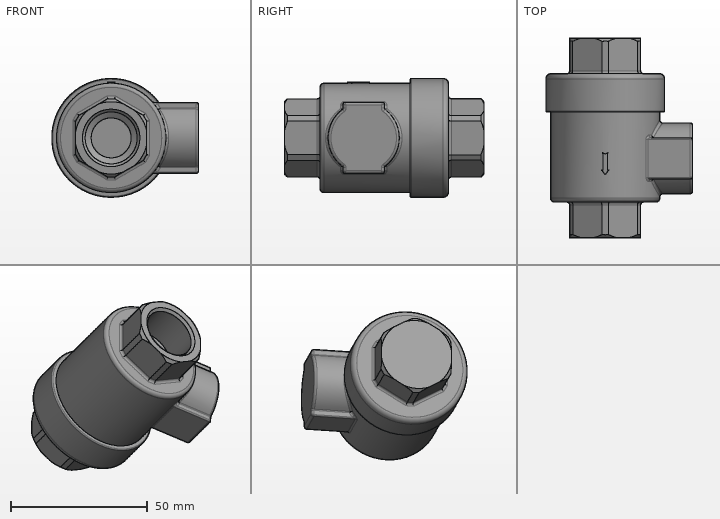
import cadquery as cq
import math


body_radius = 20.0
body_start_y = -16.0
body_end_y = 17.0
body_edge_fillet = 1.5

cap_radius = 21.75
cap_end_y = 31.0
cap_outer_fillet = 2.0
cap_inner_fillet = 0.4

hex_across_flats = 26.0
hex_length = 13.0
body_hex_corner_radius = 14.3
cap_hex_corner_radius = 14.36
hex_end_radius = 13.2
hex_base_fillet = 1.0
hex_sides = 6
hex_half_side_angle = 180 / hex_sides

joint_tolerance = 0.1

bore_radius = 9.5
bore_mouth_radius = 10.5
bore_mouth_depth = 1.0
bore_depth = 15.0
bore_floor_radius = 7.3
bore_floor_slope = math.radians(31)
bore_floor_cone_depth = (bore_radius - bore_floor_radius) * math.tan(bore_floor_slope)

outlet_radius = 13.0
outlet_end_x = 32.0
outlet_end_fillet = 1.0
lug_width = 15.0
lug_edge_fillet = 0.5
lug_foot_fillet = 0.5
outlet_root_fillet = 1.0
root_zone_depth = 6.0
root_zone_margin = 0.5

arrow_top_z = 20.5
arrow_root_z = body_radius - 1.0
arrow_tail_y = 2.1
arrow_tail_notch_y = 1.6
arrow_neck_y = -4.2
arrow_tip_y = -5.9
arrow_tail_half_width = 1.0
arrow_shaft_half_width = 0.8
arrow_head_half_width = 1.4


def disc_along_y(radius, start_y, end_y):
    """Cylinder on the flow axis between two Y positions."""
    return cq.Workplane("XZ", origin=(0, start_y, 0)).circle(radius).extrude(start_y - end_y)


def hex_prism(start_y, end_y, corner_radius):
    """Hexagon with flats facing +X and -X and its corners cut flat at corner_radius."""
    def prism(across_flats, turn):
        diameter = across_flats / math.cos(math.radians(hex_half_side_angle))
        sketch = cq.Workplane("XZ", origin=(0, start_y, 0)).polygon(hex_sides, diameter)
        blank = sketch.extrude(start_y - end_y)
        return blank.rotate((0, 0, 0), (0, 1, 0), turn)

    return prism(hex_across_flats, hex_half_side_angle).intersect(prism(2 * corner_radius, 0))


def hex_end_envelope(base_y, tip_y):
    """Turned envelope whose 45 degree cone trims the hexagon corners at the tip."""
    direction = math.copysign(1, tip_y - base_y)
    cone_base_y = tip_y - direction * (cap_radius - hex_end_radius)
    profile = [
        (0, base_y),
        (cap_radius, base_y),
        (cap_radius, cone_base_y),
        (hex_end_radius, tip_y),
        (0, tip_y),
    ]
    return cq.Workplane("XY").polyline(profile).close().revolve(360, (0, 0, 0), (0, 1, 0))


def hex_end(base_y, direction, corner_radius):
    """Hexagonal end, rooted at base_y and pointing along direction (+1 or -1)."""
    tip_y = base_y + direction * hex_length
    prism = hex_prism(base_y, tip_y, corner_radius)
    return prism.intersect(hex_end_envelope(base_y, tip_y))


def fillet_hex_base(part, base_y):
    """Fillet the concave joint between a hexagonal end and the face it stands on."""
    reach = cap_hex_corner_radius + joint_tolerance
    joint = cq.selectors.BoxSelector(
        (-reach, base_y - joint_tolerance, -reach),
        (reach, base_y + joint_tolerance, reach),
    )
    return part.edges(joint).edges("%LINE").fillet(hex_base_fillet)


def main_body():
    """Round body with the wider cap on its +Y end."""
    body = disc_along_y(body_radius, body_start_y, body_end_y)
    body = body.faces("<Y").edges().fillet(body_edge_fillet)
    cap = disc_along_y(cap_radius, body_end_y, cap_end_y)
    cap = cap.faces(">Y").edges().fillet(cap_outer_fillet)
    cap = cap.faces("<Y").edges().fillet(cap_inner_fillet)
    return body.union(cap)


def outlet_barrel(end_x):
    """Round outlet from the flow axis to end_x."""
    return cq.Workplane("YZ").circle(outlet_radius).extrude(end_x)


def outlet_lug(end_x):
    """Block through the barrel whose flats are tangent to it above and below."""
    return cq.Workplane("YZ").rect(lug_width, 2 * outlet_radius).extrude(end_x)


def joined_to_body(body, branch):
    """Body with one branch of the outlet, filleted all around where the two meet."""
    reach = outlet_radius + root_zone_margin
    root_zone = cq.selectors.BoxSelector(
        (body_radius - root_zone_depth, -reach, -reach),
        (body_radius + root_zone_margin, reach, reach),
    )
    return body.union(branch).edges(root_zone).fillet(outlet_root_fillet)


def side_outlet():
    """Barrel and lug blended together along the lug feet and rounded at the outer end."""
    outlet = outlet_barrel(outlet_end_x).union(outlet_lug(outlet_end_x))
    lug_foot_z = math.sqrt(outlet_radius**2 - (lug_width / 2) ** 2)
    foot_zone = cq.selectors.BoxSelector(
        (0, -lug_width, -lug_foot_z - lug_edge_fillet),
        (outlet_end_x, lug_width, lug_foot_z + lug_edge_fillet),
    )
    outlet = outlet.edges("|X").edges(foot_zone).fillet(lug_foot_fillet)
    outlet = outlet.edges("|X and (>Z or <Z)").fillet(lug_edge_fillet)
    return outlet.faces(">X").edges().fillet(outlet_end_fillet)


def inlet_bore():
    """Blind bore with a chamfered mouth and a conical floor ending in a flat."""
    mouth_y = body_start_y - hex_length
    wall_end_y = mouth_y + bore_depth
    floor_y = wall_end_y + bore_floor_cone_depth
    profile = [
        (0, mouth_y),
        (bore_mouth_radius, mouth_y),
        (bore_radius, mouth_y + bore_mouth_depth),
        (bore_radius, wall_end_y),
        (bore_floor_radius, floor_y),
        (0, floor_y),
    ]
    return cq.Workplane("XY").polyline(profile).close().revolve(360, (0, 0, 0), (0, 1, 0))


def flow_arrow():
    """Raised arrow on top of the body, pointing toward -Y."""
    right_side = [
        (arrow_tail_half_width, arrow_tail_y),
        (arrow_shaft_half_width, arrow_tail_notch_y),
        (arrow_shaft_half_width, arrow_neck_y),
        (arrow_head_half_width, arrow_neck_y),
    ]
    left_side = [(-x, y) for x, y in reversed(right_side)]
    outline = [(0, arrow_tail_notch_y)] + right_side + [(0, arrow_tip_y)] + left_side
    sketch = cq.Workplane("XY", origin=(0, 0, arrow_root_z)).polyline(outline).close()
    return sketch.extrude(arrow_top_z - arrow_root_z)


def body_with_outlet():
    """Main body with the side outlet and its root fillets.

    Barrel and lug are each filleted against the body on their own and then merged,
    stopping short of the rounded outer end.
    """
    body = main_body()
    branch_end_x = outlet_end_x - outlet_end_fillet
    barrel = outlet_barrel(branch_end_x)
    lug = outlet_lug(branch_end_x).edges("|X").fillet(lug_edge_fillet)
    joined = body.union(side_outlet())
    for branch in (barrel, lug):
        joined = joined.union(joined_to_body(body, branch))
    return joined


part = body_with_outlet()
part = part.union(hex_end(body_start_y, -1, body_hex_corner_radius))
part = part.union(hex_end(cap_end_y, 1, cap_hex_corner_radius))
for base_y in (body_start_y, cap_end_y):
    part = fillet_hex_base(part, base_y)
result = part.cut(inlet_bore()).union(flow_arrow())